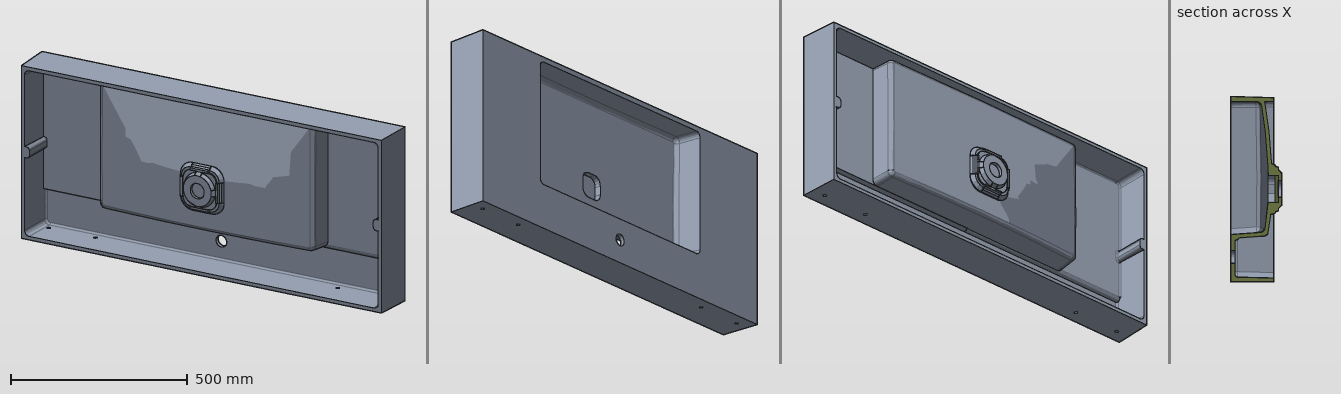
import cadquery as cq

LENGTH = 1200.0
HEIGHT = 525.0
DEPTH = 122.5
SIDE_DRAFT = 5.0
FRONT_DRAFT = 3.5
RIM_Y = -DEPTH

RIM_WIDTH = 11.0
POCKET_DRAFT = 5.0
WALL_SIDE_DRAFT = 3.0
POCKET_CORNER_RADIUS = 15.0
POCKET_FLOOR_FILLET = 6.0
DECK_THICKNESS = 13.0
POCKET_HALF_LENGTH = LENGTH / 2 - SIDE_DRAFT - RIM_WIDTH
POCKET_TOP_Z = HEIGHT - FRONT_DRAFT - RIM_WIDTH
POCKET_FLOOR_Y = -DECK_THICKNESS

PANEL_THICKNESS = 25.0
PANEL_START_Z = 117.0
PANEL_EDGE_RADIUS = 13.0
PANEL_STEP_DRAFT = 6.0
PANEL_WALL_FILLET = 4.0
PANEL_REACH = LENGTH / 2 - SIDE_DRAFT
PANEL_END_Z = HEIGHT - RIM_WIDTH

BOWL_HALF_LENGTH = 361.0
BOWL_START_Z = 122.0
BOWL_DRAFT = 9.0
BOWL_EDGE_RADIUS = 13.0
BOWL_CORNER_RADIUS = 16.0
BOWL_WALL = 12.0
BOWL_FLOOR_Y = RIM_Y + 28.0
DOME_RISE = 24.0
DOME_EDGE_SHARE = 0.35
DOME_GRID = 6

DRAIN_Z = HEIGHT / 2
BOSS_HEIGHT = 22.5
BOSS_TIP_Y = RIM_Y - BOSS_HEIGHT
BOSS_BASE_HALF = 72.0
BOSS_BASE_RADIUS = 40.0
BOSS_ROOT_Y = RIM_Y + 5.0
BOSS_STEP_Y = RIM_Y - 6.0
BOSS_SHOULDER_Y = RIM_Y - 13.0
BOSS_STEP_INSET = 10.0
MIDDLE_STEP_HALF = 55.0
MIDDLE_STEP_RADIUS = 26.0
MIDDLE_STEP_Y = RIM_Y - 10.0
LUG_LENGTH = 60.0
LUG_FOOT_Y = RIM_Y - 3.0
LUG_FOOT_HALF = 69.0
LUG_CREASE_HALF = 64.0
LUG_TOP_HALF = 62.0
LUG_INNER_HALF = 55.0
CONE_BASE_RADIUS = 54.0
CONE_TIP_RADIUS = 46.0
CHANNEL_WIDTH = 19.0
DRAIN_DIAMETER = 46.0

COVER_SIZE = 76.0
COVER_RADIUS = 25.0
COVER_THICKNESS = 10.0
COVER_SEAT_Y = BOSS_TIP_Y + 10.0

RIB_WIDTH = 34.0
RIB_PROJECTION = 16.0
RIB_CORNER_RADIUS = 10.0

TAP_HOLE_DIAMETER = 35.0
TAP_HOLE_Z = 70.0
MOUNT_HOLE_DIAMETER = 10.0
MOUNT_HOLE_Y = -39.0
MOUNT_HOLE_XS = (-555.0, -400.0, 400.0, 555.0)

SELECTION_MARGIN = 1.0


def y_plane(y, z=0.0):
    """Work plane at the given Y, facing the underside, with local x along X and local y along Z."""
    return cq.Plane(origin=(0, y, z), xDir=(1, 0, 0), normal=(0, -1, 0))


def outline(half_length, z_low, z_high, radius=0.0):
    """Sketch of a rectangle symmetric about X = 0, measured from the work plane's Z."""
    shape = cq.Sketch().push([(0, (z_low + z_high) / 2)]).rect(2 * half_length, z_high - z_low).reset()
    return shape.vertices().fillet(radius) if radius else shape


def loft(y_start, start, y_end, end, z=0.0):
    """Solid that tapers from one outline to another along -Y."""
    end = end.moved(cq.Location(cq.Vector(0, 0, y_start - y_end)))
    return cq.Workplane(y_plane(y_start, z)).placeSketch(start, end).loft()


def block(x_low, x_high, y_low, y_high, z_low, z_high):
    """Plain box between the given limits."""
    size = (x_high - x_low, y_high - y_low, z_high - z_low)
    return cq.Workplane().box(*size, centered=False).translate((x_low, y_low, z_low))


def make_outer_body():
    """Solid block that narrows from the deck to the rim; the wall side stays square."""
    back = outline(LENGTH / 2, 0, HEIGHT)
    rim = outline(LENGTH / 2 - SIDE_DRAFT, 0, HEIGHT - FRONT_DRAFT)
    return loft(0, back, RIM_Y, rim)


def make_pocket(floor_y, floor_fillet):
    """Space under the deck, narrowing towards its rounded floor."""
    share = (floor_y - RIM_Y) / DEPTH
    floor = outline(
        POCKET_HALF_LENGTH - share * POCKET_DRAFT,
        RIM_WIDTH + share * WALL_SIDE_DRAFT,
        POCKET_TOP_Z - share * POCKET_DRAFT,
        POCKET_CORNER_RADIUS,
    )
    opening = outline(POCKET_HALF_LENGTH, RIM_WIDTH, POCKET_TOP_Z, POCKET_CORNER_RADIUS)
    return loft(floor_y, floor, RIM_Y, opening).faces(">Y").edges().fillet(floor_fillet)


def make_left_panel():
    """Slab under the deck with a sloping edge, and its rib."""
    step = [
        (0, PANEL_START_Z),
        (-DECK_THICKNESS, PANEL_START_Z),
        (-PANEL_THICKNESS, PANEL_START_Z + PANEL_STEP_DRAFT),
        (-PANEL_THICKNESS, PANEL_END_Z),
        (0, PANEL_END_Z),
    ]
    return cq.Workplane("YZ").polyline(step).close().extrude(-PANEL_REACH).union(make_rib(-1))


def make_right_panel():
    """Slab under the deck with a rounded edge, and its rib, blended into each other and into the walls."""
    slab = block(0, PANEL_REACH, -PANEL_THICKNESS, 0, PANEL_START_Z, PANEL_END_Z)
    slab = slab.edges("<Y and <Z").fillet(PANEL_EDGE_RADIUS)
    rib_foot = cq.selectors.BoxSelector(
        (PANEL_REACH - 2 * RIB_PROJECTION, -PANEL_THICKNESS - SELECTION_MARGIN, DRAIN_Z - RIB_WIDTH),
        (PANEL_REACH - SELECTION_MARGIN, -PANEL_THICKNESS + SELECTION_MARGIN, DRAIN_Z + RIB_WIDTH),
    )
    panel = slab.union(make_rib(1)).edges(rib_foot).fillet(PANEL_WALL_FILLET)
    blend_y = -PANEL_THICKNESS - PANEL_WALL_FILLET
    blend = block(0, PANEL_REACH, blend_y, 0, PANEL_START_Z + PANEL_EDGE_RADIUS, PANEL_END_Z)
    return panel.union(blend.cut(make_pocket(-PANEL_THICKNESS, PANEL_WALL_FILLET)))


def make_rib(side):
    """Rib on one end wall, from the deck to the rim; side is -1 or 1."""
    reach = RIM_WIDTH + RIB_PROJECTION
    middle_x = side * (PANEL_REACH - reach / 2)
    rib = cq.Workplane(y_plane(0, DRAIN_Z)).center(middle_x, 0).rect(reach, RIB_WIDTH).extrude(DEPTH)
    inner_face = "<X" if side > 0 else ">X"
    return rib.faces(inner_face).edges("|Y").fillet(RIB_CORNER_RADIUS)


def make_dome():
    """Block whose -Y face bulges smoothly to its furthest point at the drain."""
    below = DRAIN_Z - BOWL_START_Z
    above = HEIGHT - DRAIN_Z

    def surface_point(column, row):
        x = BOWL_HALF_LENGTH * (2 * column / DOME_GRID - 1)
        z = BOWL_START_Z + (below + above) * row / DOME_GRID
        along = 1 - (x / BOWL_HALF_LENGTH) ** 2
        if z < DRAIN_Z:
            across = 1 - (1 - DOME_EDGE_SHARE) * ((DRAIN_Z - z) / below) ** 2
        else:
            across = 1 - ((z - DRAIN_Z) / above) ** 2
        return cq.Vector(x, BOWL_FLOOR_Y - DOME_RISE * along * across, z)

    steps = range(DOME_GRID + 1)
    surface = cq.Face.makeSplineApprox([[surface_point(column, row) for row in steps] for column in steps])
    return cq.Workplane(cq.Solid.extrudeLinear(surface, cq.Vector(0, DEPTH, 0)))


def make_bowl(inset, z_top):
    """Bowl shape drawn in by the inset: a tapered block from the deck, cut off by the domed floor."""
    half_length = BOWL_HALF_LENGTH - inset
    z_low = BOWL_START_Z + inset
    start = outline(half_length, z_low, z_top, BOWL_CORNER_RADIUS)
    end = outline(half_length - BOWL_DRAFT, z_low + BOWL_DRAFT, z_top, BOWL_CORNER_RADIUS)
    bowl = loft(0, start, RIM_Y, end).intersect(make_dome().translate((0, inset, 0)))
    return bowl.faces("<Y").edges().fillet(BOWL_EDGE_RADIUS)


def make_drain_boss():
    """Stepped square boss with a round tip, four lugs and four raised channels."""
    step_half = BOSS_BASE_HALF - BOSS_STEP_INSET
    base_size = 2 * BOSS_BASE_HALF
    root = square_prism(base_size, BOSS_BASE_RADIUS, BOSS_ROOT_Y, BOWL_FLOOR_Y - BOSS_ROOT_Y)
    taper = loft(
        BOSS_ROOT_Y,
        outline(BOSS_BASE_HALF, -BOSS_BASE_HALF, BOSS_BASE_HALF, BOSS_BASE_RADIUS),
        BOSS_STEP_Y,
        outline(step_half, -step_half, step_half, BOSS_BASE_RADIUS - BOSS_STEP_INSET),
        DRAIN_Z,
    )
    cone = cq.Workplane(
        cq.Solid.makeCone(
            CONE_BASE_RADIUS,
            CONE_TIP_RADIUS,
            BOSS_STEP_Y - BOSS_TIP_Y,
            pnt=cq.Vector(0, BOSS_STEP_Y, DRAIN_Z),
            dir=cq.Vector(0, -1, 0),
        )
    )
    middle_step = square_prism(
        2 * MIDDLE_STEP_HALF, MIDDLE_STEP_RADIUS, MIDDLE_STEP_Y, BOSS_STEP_Y - MIDDLE_STEP_Y
    )
    boss = root.union(taper).union(middle_step).union(cone)
    for quarter in range(4):
        turn = ((0, 0, DRAIN_Z), (0, 1, DRAIN_Z), 90 * quarter)
        boss = boss.union(make_lug().rotate(*turn)).union(make_channel().rotate(*turn))
    return boss


def make_lug():
    """Lug on the +X side of the boss with a sloping outer face."""
    profile = [
        (0, BOSS_ROOT_Y),
        (BOSS_BASE_HALF, BOSS_ROOT_Y),
        (LUG_FOOT_HALF, LUG_FOOT_Y),
        (LUG_CREASE_HALF, BOSS_STEP_Y),
        (LUG_TOP_HALF, BOSS_SHOULDER_Y),
        (LUG_INNER_HALF, BOSS_SHOULDER_Y),
        (LUG_INNER_HALF, BOSS_STEP_Y),
        (0, BOSS_STEP_Y),
    ]
    plane = cq.Workplane("XY", origin=(0, 0, DRAIN_Z))
    return plane.polyline(profile).close().extrude(LUG_LENGTH / 2, both=True)


def make_channel():
    """Raised channel that joins the +X lug to the round tip."""
    profile = [
        (0, BOSS_STEP_Y),
        (LUG_INNER_HALF, BOSS_STEP_Y),
        (LUG_INNER_HALF, BOSS_SHOULDER_Y),
        (CONE_TIP_RADIUS, BOSS_TIP_Y),
        (0, BOSS_TIP_Y),
    ]
    plane = cq.Workplane("XY", origin=(0, 0, DRAIN_Z))
    return plane.polyline(profile).close().extrude(CHANNEL_WIDTH / 2, both=True)


def square_prism(size, radius, y_start, length):
    """Square prism with rounded corners around the drain axis, running along +Y."""
    return (
        cq.Workplane(y_plane(y_start, DRAIN_Z)).rect(size, size).extrude(-length).edges("|Y").fillet(radius)
    )


def cylinder(diameter, start, direction, length):
    """Round bar used to cut holes."""
    return cq.Workplane(
        cq.Solid.makeCylinder(diameter / 2, length, cq.Vector(*start), cq.Vector(*direction))
    )


def make_basin():
    """Tray with panels, ribs, bowl and drain boss, then hollowed and drilled."""
    bowl = make_bowl(0, HEIGHT - FRONT_DRAFT - RIM_WIDTH / 2)
    basin = make_outer_body().cut(make_pocket(POCKET_FLOOR_Y, POCKET_FLOOR_FILLET))
    for part in (make_left_panel(), make_right_panel(), bowl, make_drain_boss()):
        basin = basin.union(part)

    bowl_inside = make_bowl(BOWL_WALL, HEIGHT - FRONT_DRAFT - BOWL_WALL)
    basin = basin.cut(bowl_inside)
    basin = basin.cut(square_prism(COVER_SIZE, COVER_RADIUS, COVER_SEAT_Y, BOWL_FLOOR_Y - COVER_SEAT_Y))
    basin = basin.cut(cylinder(DRAIN_DIAMETER, (0, BOSS_TIP_Y, DRAIN_Z), (0, 1, 0), BOSS_HEIGHT))

    basin = basin.cut(cylinder(TAP_HOLE_DIAMETER, (0, RIM_Y, TAP_HOLE_Z), (0, 1, 0), DEPTH))
    for x in MOUNT_HOLE_XS:
        basin = basin.cut(cylinder(MOUNT_HOLE_DIAMETER, (x, MOUNT_HOLE_Y, 0), (0, 0, 1), PANEL_START_Z / 2))
    return basin


def make_drain_cover():
    """Square plate that fills the seat over the drain hole."""
    return square_prism(COVER_SIZE, COVER_RADIUS, COVER_SEAT_Y, COVER_THICKNESS)


basin = make_basin()
drain_cover = make_drain_cover()

result = cq.Compound.makeCompound([basin.val(), drain_cover.val()])